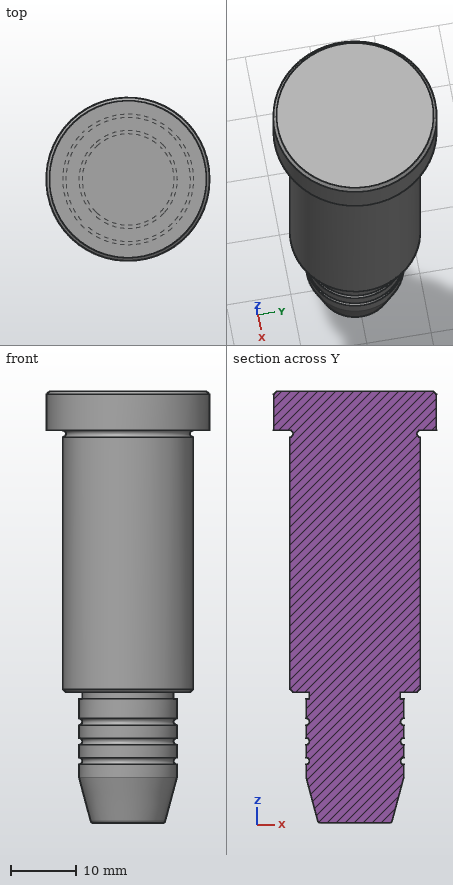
import cadquery as cq
import math

total_height = 66.0
head_height = 6.0
tail_height = 20.0
head_underside = total_height - head_height

head_radius = 25.0 / 2
head_chamfer = 0.5
body_radius = 20.0 / 2
body_chamfer = 0.5

relief_width = 1.0

tail_radius = 15.0 / 2
neck_radius = 14.0 / 2
neck_height = 1.0
groove_count = 3
groove_pitch = 3.0
groove_width = 1.0
lowest_groove_bottom = 9.0
taper_height = 7.0
taper_angle = 15.0
tip_radius = tail_radius - taper_height * math.tan(math.radians(taper_angle))
tip_fillet = 0.5


def cylinder(radius, bottom, top):
    """Solid cylinder on the Z axis between two heights."""
    return cq.Workplane("XY").workplane(offset=bottom).circle(radius).extrude(top - bottom)


def ring_groove(radius, bottom, width):
    """Ring with a half-round section, to be cut into a cylinder of the given radius."""
    half_width = width / 2
    deepest_point = (radius - half_width, bottom + half_width)
    return (
        cq.Workplane("XZ")
        .moveTo(radius, bottom)
        .threePointArc(deepest_point, (radius, bottom + width))
        .close()
        .revolve(360, (0, 0, 0), (0, 1, 0))
    )


def make_head():
    head = cylinder(head_radius, head_underside, total_height)
    return head.faces(">Z").chamfer(head_chamfer)


def make_body():
    """Main shank, chamfered below, with a rounded relief groove right under the head."""
    body = cylinder(body_radius, tail_height, head_underside)
    body = body.faces("<Z").chamfer(body_chamfer)
    relief_bottom = head_underside - relief_width
    return body.cut(ring_groove(body_radius, relief_bottom, relief_width))


def make_tail():
    neck_bottom = tail_height - neck_height
    tail = cylinder(tail_radius, taper_height, neck_bottom)
    for index in range(groove_count):
        bottom = lowest_groove_bottom + index * groove_pitch
        tail = tail.cut(ring_groove(tail_radius, bottom, groove_width))
    return tail.union(cylinder(neck_radius, neck_bottom, tail_height))


def make_tip():
    """Truncated cone with a rounded lower edge."""
    tip = (
        cq.Workplane("XZ")
        .polyline([(0, 0), (tip_radius, 0), (tail_radius, taper_height), (0, taper_height)])
        .close()
        .revolve(360, (0, 0, 0), (0, 1, 0))
    )
    return tip.faces("<Z").edges().fillet(tip_fillet)


result = make_head().union(make_body()).union(make_tail()).union(make_tip())